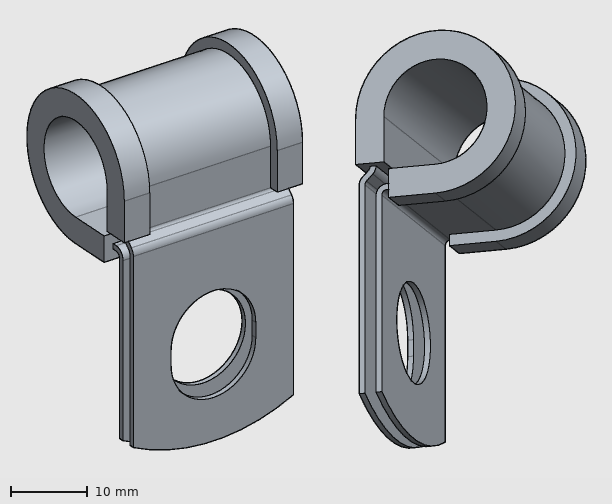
import cadquery as cq
import math


flange_radius = 11.0
bore_radius = 7.1
flange_step = 1.5
flange_width = 4.05
cushion_length = 28.45
upright_end_z = -6.15
lower_arm_end_x = 6.45

strap_thickness = 0.8
strap_width = 25.55
bend_inner_radius = 0.7
overall_height = 50.65
tail_end_rise = 2.95
hole_diameter = 13.5
slot_length = 15.7
hole_above_tail_end = 14.3

strap_outer_radius = flange_radius - flange_step
strap_inner_radius = strap_outer_radius - strap_thickness
strap_mid_radius = strap_outer_radius - strap_thickness / 2
bend_radius = bend_inner_radius + strap_thickness / 2
tail_end_z = flange_radius - overall_height
outer_tail_x = flange_radius - strap_thickness / 2
inner_tail_x = strap_inner_radius - strap_thickness / 2


def extrude_along_loop(outline, width, center_y=0.0):
    """Extrude an XZ outline symmetrically about the given Y position."""
    return outline.extrude(width / 2, both=True).translate((0, center_y, 0))


def loop_band(outer_radius, width, center_y=0.0):
    """Three-quarter ring with a straight leg at each end."""
    diagonal = math.sqrt(0.5)
    outline = (
        cq.Workplane("XZ")
        .moveTo(outer_radius, upright_end_z)
        .lineTo(outer_radius, 0)
        .threePointArc((-outer_radius * diagonal, outer_radius * diagonal), (0, -outer_radius))
        .lineTo(lower_arm_end_x, -outer_radius)
        .lineTo(lower_arm_end_x, -bore_radius)
        .lineTo(0, -bore_radius)
        .threePointArc((-bore_radius * diagonal, bore_radius * diagonal), (bore_radius, 0))
        .lineTo(bore_radius, upright_end_z)
        .close()
    )
    return extrude_along_loop(outline, width, center_y)


def strap_section(x):
    """Flat strap cross-section at the free end of a tail."""
    return cq.Workplane("XY", origin=(x, 0, tail_end_z)).rect(strap_thickness, strap_width)


def outer_tail():
    """Tail that jogs outward in two 45 degree bends below the upright leg."""
    bend_shift = bend_radius * (1 - math.cos(math.pi / 4))
    bend_height = bend_radius * math.sin(math.pi / 4)
    jog = outer_tail_x - strap_mid_radius
    slope_length = jog - 2 * bend_shift
    jog_bottom_z = upright_end_z - 2 * bend_height - slope_length
    path = (
        cq.Workplane("XZ")
        .moveTo(outer_tail_x, tail_end_z)
        .lineTo(outer_tail_x, jog_bottom_z)
        .tangentArcPoint((outer_tail_x - bend_shift, jog_bottom_z + bend_height), relative=False)
        .lineTo(strap_mid_radius + bend_shift, upright_end_z - bend_height)
        .tangentArcPoint((strap_mid_radius, upright_end_z), relative=False)
        .lineTo(strap_mid_radius, 0)
    )
    return strap_section(outer_tail_x).sweep(path)


def inner_tail():
    """Tail that turns down from the horizontal arm in one right-angle bend."""
    path = (
        cq.Workplane("XZ")
        .moveTo(inner_tail_x, tail_end_z)
        .lineTo(inner_tail_x, -strap_mid_radius - bend_radius)
        .tangentArcPoint((inner_tail_x - bend_radius, -strap_mid_radius), relative=False)
        .lineTo(0, -strap_mid_radius)
    )
    return strap_section(inner_tail_x).sweep(path)


def tail_outline():
    """Solid bounding the tails, with their rounded lower end."""
    half_width = strap_width / 2
    corner_z = tail_end_z + tail_end_rise
    return (
        cq.Workplane("YZ")
        .moveTo(-half_width, 0)
        .lineTo(-half_width, corner_z)
        .threePointArc((0, tail_end_z), (half_width, corner_z))
        .lineTo(half_width, 0)
        .close()
        .extrude(flange_radius)
    )


hole_plane = cq.Workplane("YZ", origin=(0, 0, tail_end_z + hole_above_tail_end))
round_hole = hole_plane.circle(hole_diameter / 2).extrude(flange_radius)
slot = hole_plane.slot2D(slot_length, hole_diameter, 90).extrude(flange_radius)

result = (
    loop_band(strap_outer_radius, strap_width)
    .union(outer_tail().intersect(tail_outline()).cut(slot))
    .union(inner_tail().intersect(tail_outline()).cut(round_hole))
)

for side in (-1, 1):
    flange_center_y = side * (cushion_length - flange_width) / 2
    result = result.union(loop_band(flange_radius, flange_width, flange_center_y))